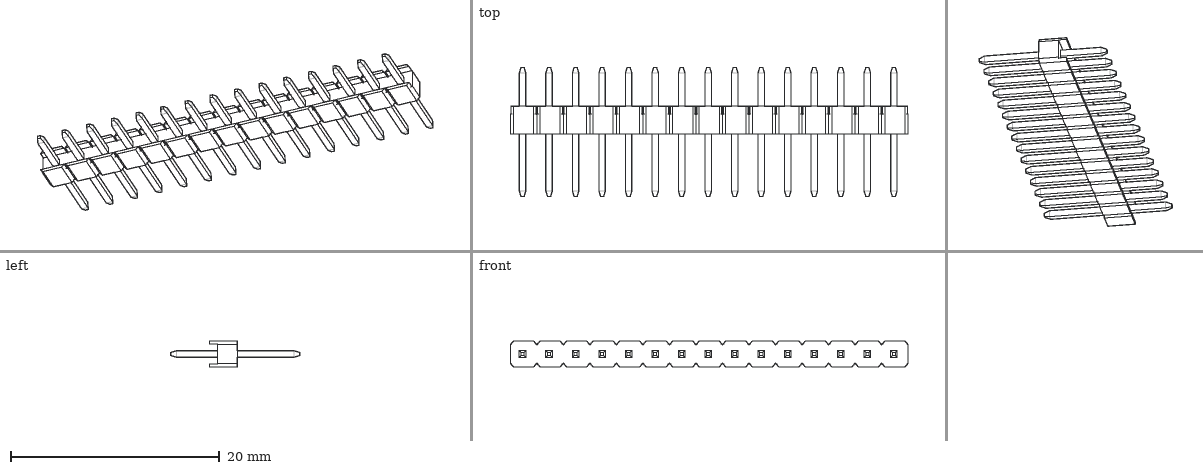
import cadquery as cq

PIN_COUNT = 15
PITCH = 2.54
ROW_LENGTH = PIN_COUNT * PITCH
ROW_START = -ROW_LENGTH / 2

HOUSING_HEIGHT = 2.5
HOUSING_DEPTH = 2.67
CHAMFER_RUN = 0.31
CHAMFER_DROP = 0.36
LIP_LENGTH = 0.75
LIP_THICKNESS = 0.3

PIN_LENGTH = 12.4
PIN_WIDTH = 0.64
PIN_FRONT_LENGTH = 6.0
PIN_OFFSET = 1.17
TIP_LENGTH = 0.55
TIP_WIDTH = 0.3

PIN_FRONT = -PIN_LENGTH / 2
HOUSING_FRONT = PIN_FRONT + PIN_FRONT_LENGTH
HOUSING_BACK = HOUSING_FRONT + HOUSING_DEPTH


def section_plane(y):
    """XZ workplane at the given Y; its normal points toward -Y."""
    return cq.Workplane("XZ", origin=(0, y, 0))


def make_cell(left):
    """One housing cell: a rectangle with four chamfered corners, extruded along Y."""
    right = left + PITCH
    top = HOUSING_HEIGHT / 2
    shoulder = top - CHAMFER_DROP
    outline = [
        (left, -shoulder),
        (left + CHAMFER_RUN, -top),
        (right - CHAMFER_RUN, -top),
        (right, -shoulder),
        (right, shoulder),
        (right - CHAMFER_RUN, top),
        (left + CHAMFER_RUN, top),
        (left, shoulder),
    ]
    return section_plane(HOUSING_BACK).polyline(outline).close().extrude(HOUSING_DEPTH)


def make_recess():
    """Channel along the back of the housing that leaves a thin lip above and below."""
    recess_height = HOUSING_HEIGHT - 2 * LIP_THICKNESS
    return section_plane(HOUSING_BACK).rect(ROW_LENGTH, recess_height).extrude(LIP_LENGTH)


def make_pin(x):
    """Square pin along Y with a tapered tip at each end."""
    shank_length = PIN_LENGTH - 2 * TIP_LENGTH
    shank = section_plane(shank_length / 2).rect(PIN_WIDTH, PIN_WIDTH).extrude(shank_length)
    front_tip = (
        section_plane(-shank_length / 2)
        .rect(PIN_WIDTH, PIN_WIDTH)
        .workplane(offset=TIP_LENGTH)
        .rect(TIP_WIDTH, TIP_WIDTH)
        .loft()
    )
    back_tip = front_tip.mirror("XZ")
    return shank.union(front_tip).union(back_tip).translate((x, 0, 0))


def make_housing(lefts):
    """Row of joined cells with the recess cut along the back."""
    housing = make_cell(lefts[0])
    for left in lefts[1:]:
        housing = housing.union(make_cell(left))
    return housing.cut(make_recess())


cell_lefts = [ROW_START + i * PITCH for i in range(PIN_COUNT)]

result = make_housing(cell_lefts)
for cell_left in cell_lefts:
    result = result.union(make_pin(cell_left + PIN_OFFSET))